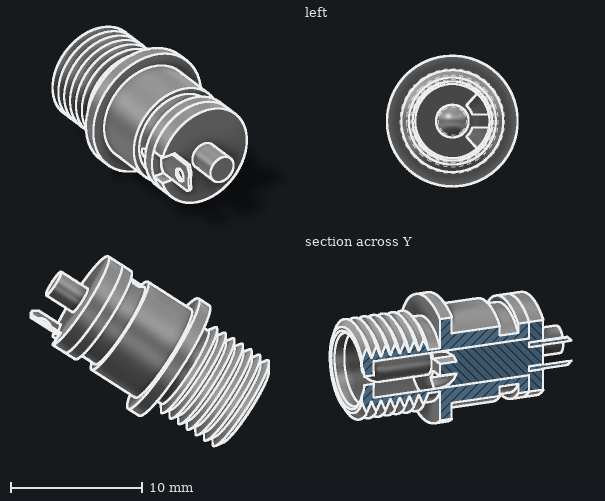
import cadquery as cq
import math

TOTAL_LENGTH = 17.6

THREAD_TURNS = 7
THREAD_LENGTH = 5.53
THREAD_PITCH = THREAD_LENGTH / THREAD_TURNS
THREAD_CREST_RADIUS = 3.89
THREAD_ROOT_RADIUS = 3.33
FLANGE_START = 6.5
FLANGE_END = 7.5
FLANGE_RADIUS = 5.0
BARREL_RADIUS = 4.0
GROOVE_START = 11.5
GROOVE_END = 13.0
GROOVE_RADIUS = 3.5
HOUSING_END = 13.92
BORE_RADIUS = 3.17
LIP_RADIUS = 2.83
LIP_END = 1.0
MOUTH_CHAMFER = 0.2
DIMPLE_RADIUS = 0.39
DIMPLE_DEPTH = 0.2

INSULATOR_FACE = FLANGE_START
INSULATOR_END = 15.12
POCKET_INNER_RADIUS = 1.6
POCKET_HALF_ANGLE = 48.0
RIB_WIDTH = 0.99

PIN_RADIUS = 1.25
PIN_TIP = 1.28
TAIL_RADIUS = 1.07
PIN_END = 17.55

TAB_OUTER_RADIUS = 3.13
TAB_THICKNESS = 0.21
TAB_INNER_RADIUS = TAB_OUTER_RADIUS - TAB_THICKNESS
TAB_WIDTH = 2.27
TAB_CORNER = 0.45
TAB_HOLE_RADIUS = 0.51
TAB_HOLE_X = 16.4


def cylinder(radius, start, end):
    """Solid cylinder on the X axis between two X positions."""
    return cq.Workplane("YZ", origin=(start, 0, 0)).circle(radius).extrude(end - start)


def axial_revolve(profile):
    """Full turn about the X axis of a closed (x, radius) profile."""
    return profile.close().revolve(360, (0, 0, 0), (1, 0, 0))


def make_housing():
    """Threaded shell with a stepped outside and a straight bore behind a narrower lip."""
    outline = cq.Workplane("XY").moveTo(0, 0).lineTo(0, THREAD_ROOT_RADIUS)
    for turn in range(THREAD_TURNS):
        outline = outline.lineTo((turn + 0.5) * THREAD_PITCH, THREAD_CREST_RADIUS)
        outline = outline.lineTo((turn + 1) * THREAD_PITCH, THREAD_ROOT_RADIUS)
    outline = (
        outline.lineTo(FLANGE_START, THREAD_ROOT_RADIUS)
        .lineTo(FLANGE_START, FLANGE_RADIUS)
        .lineTo(FLANGE_END, FLANGE_RADIUS)
        .lineTo(FLANGE_END, BARREL_RADIUS)
        .lineTo(GROOVE_START, BARREL_RADIUS)
        .lineTo(GROOVE_START, GROOVE_RADIUS)
        .lineTo(GROOVE_END, GROOVE_RADIUS)
        .lineTo(GROOVE_END, BARREL_RADIUS)
        .lineTo(HOUSING_END, BARREL_RADIUS)
        .lineTo(HOUSING_END, 0)
    )
    mouth = axial_revolve(
        cq.Workplane("XY")
        .lineTo(0, LIP_RADIUS + MOUTH_CHAMFER)
        .lineTo(MOUTH_CHAMFER, LIP_RADIUS)
        .lineTo(LIP_END, LIP_RADIUS)
        .lineTo(LIP_END, 0)
    )
    shell = axial_revolve(outline).cut(mouth).cut(cylinder(BORE_RADIUS, LIP_END, HOUSING_END))

    dimple_x = (GROOVE_START + GROOVE_END) / 2
    sphere_radius = (DIMPLE_RADIUS**2 + DIMPLE_DEPTH**2) / (2 * DIMPLE_DEPTH)
    sphere_offset = GROOVE_RADIUS - DIMPLE_DEPTH + sphere_radius
    for side in (-1, 1):
        dimple = cq.Workplane("XY").sphere(sphere_radius)
        shell = shell.cut(dimple.translate((dimple_x, side * sphere_offset, 0)))
    return shell


def make_pin():
    """Centre contact with a ball end facing the mouth."""
    ball_centre = PIN_TIP + PIN_RADIUS
    ball = cq.Workplane("XY").sphere(PIN_RADIUS).translate((ball_centre, 0, 0))
    shank = cylinder(PIN_RADIUS, ball_centre, INSULATOR_FACE)
    return ball.union(shank).union(cylinder(TAIL_RADIUS, INSULATOR_FACE, PIN_END))


def make_pocket():
    """Sector recess in the insulator face with a hollow spherical floor, split by a rib on the -Y side."""
    depth = math.sqrt(BORE_RADIUS**2 - POCKET_INNER_RADIUS**2)
    half_arc_angle = math.acos(POCKET_INNER_RADIUS / BORE_RADIUS) / 2
    sector = (
        cq.Workplane("XY")
        .moveTo(INSULATOR_FACE, -POCKET_INNER_RADIUS)
        .lineTo(INSULATOR_FACE + depth, -POCKET_INNER_RADIUS)
        .threePointArc(
            (
                INSULATOR_FACE + BORE_RADIUS * math.sin(half_arc_angle),
                -BORE_RADIUS * math.cos(half_arc_angle),
            ),
            (INSULATOR_FACE, -BORE_RADIUS),
        )
        .close()
        .revolve(2 * POCKET_HALF_ANGLE, (0, 0, 0), (1, 0, 0))
        .rotate((0, 0, 0), (1, 0, 0), -POCKET_HALF_ANGLE)
    )
    rib = cq.Workplane("XY").box(2 * TOTAL_LENGTH, 2 * BORE_RADIUS, RIB_WIDTH)
    return sector.cut(rib.translate((0, -BORE_RADIUS, 0)))


def make_tab_strip(start, outer_radius):
    """Strip of a tube on the -Y side, as wide as the tab, running from start to the rear end."""
    length = TOTAL_LENGTH - start
    tube = cylinder(outer_radius, start, TOTAL_LENGTH).cut(cylinder(TAB_INNER_RADIUS, start, TOTAL_LENGTH))
    band = cq.Workplane("XY").box(length, 2 * outer_radius, TAB_WIDTH)
    return tube.intersect(band.translate((start + length / 2, -outer_radius, 0)))


def make_insulator():
    """Core and rear ring, bored for the pin, with front pockets and a notch for the tab."""
    body = cylinder(BORE_RADIUS, INSULATOR_FACE, HOUSING_END)
    body = body.union(cylinder(BARREL_RADIUS, HOUSING_END, INSULATOR_END))
    body = body.cut(cylinder(TAIL_RADIUS, INSULATOR_FACE, INSULATOR_END))
    return body.cut(make_pocket()).cut(make_tab_strip(HOUSING_END, FLANGE_RADIUS))


def make_tab():
    """Solder tab with cut corners and a wire hole."""
    strip = make_tab_strip(HOUSING_END, TAB_OUTER_RADIUS)
    half_width = TAB_WIDTH / 2
    blank = (
        cq.Workplane("XZ")
        .moveTo(HOUSING_END, -half_width)
        .lineTo(TOTAL_LENGTH - TAB_CORNER, -half_width)
        .lineTo(TOTAL_LENGTH, TAB_CORNER - half_width)
        .lineTo(TOTAL_LENGTH, half_width - TAB_CORNER)
        .lineTo(TOTAL_LENGTH - TAB_CORNER, half_width)
        .lineTo(HOUSING_END, half_width)
        .close()
        .extrude(TAB_OUTER_RADIUS)
    )
    hole = cq.Workplane("XZ").center(TAB_HOLE_X, 0).circle(TAB_HOLE_RADIUS).extrude(TAB_OUTER_RADIUS)
    return strip.intersect(blank).cut(hole)


housing = make_housing()
insulator = make_insulator()
pin = make_pin()
tab = make_tab()

result = cq.Compound.makeCompound(
    [housing.solids().val(), insulator.solids().val(), pin.solids().val(), tab.solids().val()]
)